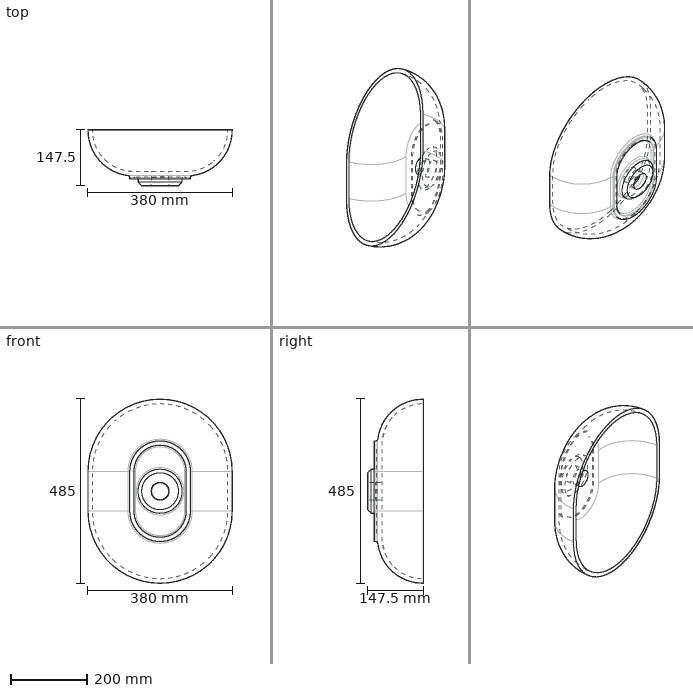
import cadquery as cq
import math

basin_width = 380.0
basin_height = 485.0
basin_depth = 147.5
straight_length = basin_height - basin_width
rim_half = basin_width / 2

bowl_radius = 120.5
wall = 12.0
rim_band = 1.5
arc_half = rim_half - bowl_radius
inner_radius = bowl_radius - wall
inner_floor_y = -rim_band - inner_radius

foot_outer_half = 80.0
foot_inner_half = 68.5
foot_y = -130.0
foot_edge = 1.2
foot_fillet = 4.5
foot_root_half = foot_outer_half + foot_fillet
foot_root_angle = math.acos((foot_root_half - arc_half) / bowl_radius)
foot_root_y = -rim_band - bowl_radius * math.sin(foot_root_angle)
floor_y = -124.0
floor_fillet = 4.0
floor_half = foot_inner_half - floor_fillet

boss_radius = 58.0
boss_chamfer = 9.5
boss_fillet = 4.5
boss_root_radius = boss_radius + boss_fillet

drain_radius = 23.5
drain_mouth_depth = 11.0
throat_radius = 22.5
drain_mouth_y = -basin_depth + drain_mouth_depth

stopper_y = -126.0
stopper_hollow = 3.0

axis_start = (0, 0, 0)
axis_end = (0, 1, 0)


def circle_point(center, radius, angle):
    """Point of a circle in the profile plane, at an angle in radians from the +X direction."""
    return (center[0] + radius * math.cos(angle), center[1] + radius * math.sin(angle))


def bowl_profile():
    """Half section of the bowl and its foot ring, from the rim down and back up the inside."""
    arc_center = (arc_half, -rim_band)
    outer_flare_center = (foot_root_half, foot_root_y - foot_fillet)
    inner_flare_center = (floor_half, floor_y - floor_fillet)
    return (
        cq.Workplane("XY")
        .moveTo(rim_half, 0)
        .lineTo(rim_half, -rim_band)
        .threePointArc(
            circle_point(arc_center, bowl_radius, -foot_root_angle / 2),
            (foot_root_half, foot_root_y),
        )
        .threePointArc(
            circle_point(outer_flare_center, foot_fillet, math.radians(135)),
            (foot_outer_half, foot_root_y - foot_fillet),
        )
        .lineTo(foot_outer_half, foot_y + foot_edge)
        .radiusArc((foot_outer_half - foot_edge, foot_y), foot_edge)
        .lineTo(foot_inner_half + foot_edge, foot_y)
        .radiusArc((foot_inner_half, foot_y + foot_edge), foot_edge)
        .lineTo(foot_inner_half, floor_y - floor_fillet)
        .threePointArc(
            circle_point(inner_flare_center, floor_fillet, math.radians(45)),
            (floor_half, floor_y),
        )
        .lineTo(0, floor_y)
        .lineTo(0, inner_floor_y)
        .lineTo(arc_half, inner_floor_y)
        .threePointArc(
            circle_point(arc_center, inner_radius, math.radians(-45)),
            (rim_half - wall, -rim_band),
        )
        .lineTo(rim_half - wall, 0)
        .close()
    )


def stadium_sweep(profile):
    """Carry a half section round the stadium: two straight sides and two half-turn ends."""
    half = straight_length / 2
    wire = profile.val()
    side = cq.Workplane(cq.Solid.extrudeLinear(wire, [], (0, 0, straight_length)))
    side = side.translate((0, 0, -half))
    lower_end = cq.Workplane(cq.Solid.revolve(wire, [], 180, axis_start, axis_end))
    lower_end = lower_end.translate((0, 0, -half))
    swept = side.union(side.mirror("YZ"))
    for turn in (0, 180):
        swept = swept.union(lower_end.rotate(axis_start, axis_end, turn))
    return swept.clean()


def drain_boss():
    """Round boss with a fillet at the floor and a chamfer at its end; it starts inside the floor."""
    fillet_center = (boss_root_radius, floor_y - boss_fillet)
    return (
        cq.Workplane("XY")
        .moveTo(0, inner_floor_y)
        .lineTo(boss_root_radius, inner_floor_y)
        .lineTo(boss_root_radius, floor_y)
        .threePointArc(
            circle_point(fillet_center, boss_fillet, math.radians(135)),
            (boss_radius, floor_y - boss_fillet),
        )
        .lineTo(boss_radius, -basin_depth + boss_chamfer)
        .lineTo(boss_radius - boss_chamfer, -basin_depth)
        .lineTo(0, -basin_depth)
        .close()
        .revolve(360, axis_start, axis_end)
    )


def drain_hole():
    """Cutter for the drain hole, from the boss end through to the bowl."""
    return (
        cq.Workplane("XY")
        .moveTo(0, -basin_depth)
        .lineTo(drain_radius, -basin_depth)
        .lineTo(drain_radius, drain_mouth_y)
        .lineTo(throat_radius, stopper_y)
        .lineTo(throat_radius, inner_floor_y)
        .lineTo(0, inner_floor_y)
        .close()
        .revolve(360, axis_start, axis_end)
    )


def make_basin():
    return stadium_sweep(bowl_profile()).union(drain_boss()).cut(drain_hole())


def make_stopper():
    """Plug that fills the inner end of the drain hole."""
    dome_radius = (throat_radius**2 + stopper_hollow**2) / (2 * stopper_hollow)
    dome_top_y = stopper_y + stopper_hollow
    dome_center = (0, dome_top_y - dome_radius)
    dome_half_angle = math.asin(throat_radius / dome_radius)
    return (
        cq.Workplane("XY")
        .moveTo(throat_radius, stopper_y)
        .threePointArc(
            circle_point(dome_center, dome_radius, (math.pi - dome_half_angle) / 2),
            (0, dome_top_y),
        )
        .lineTo(0, inner_floor_y)
        .lineTo(throat_radius, inner_floor_y)
        .close()
        .revolve(360, axis_start, axis_end)
    )


basin = make_basin()
stopper = make_stopper()
result = cq.Compound.makeCompound([basin.val(), stopper.val()])